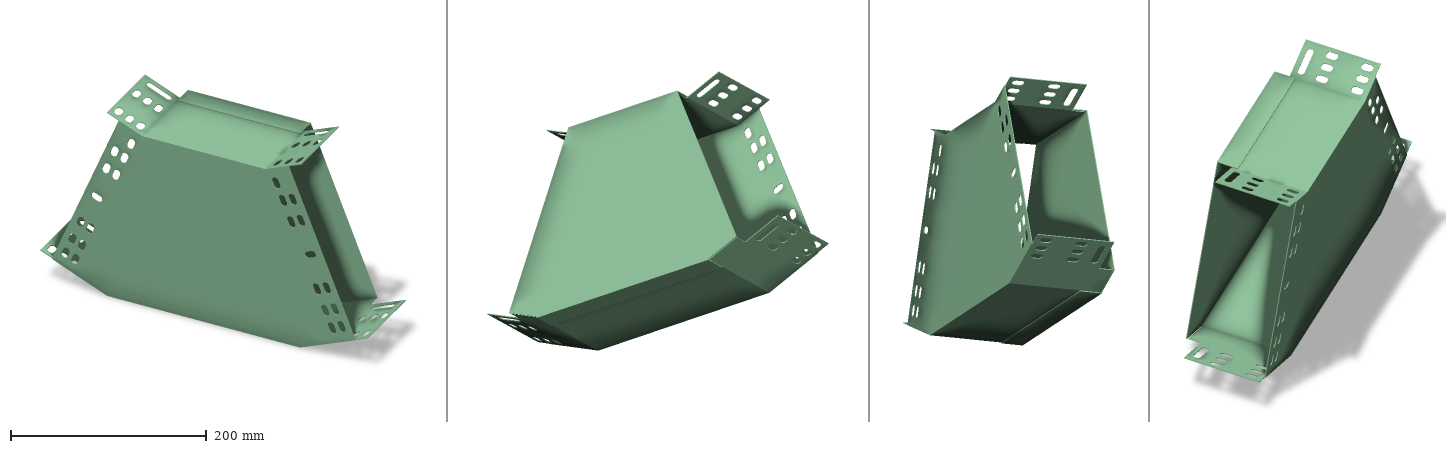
import cadquery as cq
import math


length = 378.2
depth = 101.7
height = 202.0
sheet = 0.95

turn = math.radians(22.5)
outer_bend_x = 111.2
inner_bend_x = outer_bend_x - height * math.tan(turn / 2)
outer_wing = (length / 2 - outer_bend_x) / math.cos(turn)

plate_setback = 15.0
notch_setback = 45.8
cover_setback = 44.5

wing_depth = 85.0
cover_lip = 23.5
cover_gap = 1.0
wall_top = depth - sheet - cover_gap

slot_length = 13.0
slot_width = 7.5
long_slot_length = 30.0

plate_columns = (25.5, 37.5)
plate_rows = (39.0, 63.5, 84.0)
cross_slot_inset = 29.5

wing_columns = (8.5, 22.0, 35.5)
wing_slot_levels = (12.5, 52.2)
long_slot_inset = 23.0
long_slot_level = 75.5


def end_point(inset, rise):
    """Point (x, z) near the +X end: inset from the wing tips, rise across the end from the outer wall."""
    tip_z = outer_wing * math.sin(turn)
    x = length / 2 - inset * math.cos(turn) - rise * math.sin(turn)
    z = tip_z - inset * math.sin(turn) + rise * math.cos(turn)
    return x, z


def mirrored_outline(right_side):
    """Closed outline from its +X points, listed upward, and their mirror images."""
    return right_side + [(-x, z) for x, z in reversed(right_side)]


def extrude_y(outline, y_start, y_end):
    """Prism of an XZ outline between two Y levels."""
    plane = cq.Workplane("XZ", origin=(0, y_start, 0))
    return plane.polyline(outline).close().extrude(y_start - y_end)


def bent_wall(bend_x, bend_z, rise, inward):
    """Wall with a wing at each end; inward is +1 for the outer wall and -1 for the inner wall."""
    inside_bend = (bend_x - inward * sheet * math.tan(turn / 2), bend_z + inward * sheet)
    half = [
        (bend_x, bend_z),
        end_point(0, rise),
        end_point(0, rise + inward * sheet),
        inside_bend,
    ]
    return extrude_y(mirrored_outline(half), sheet, wall_top)


def web_plate():
    """Flat plate that joins the two walls."""
    outline = mirrored_outline([
        (outer_bend_x, 0),
        end_point(plate_setback, 0),
        end_point(plate_setback, height),
        (inner_bend_x, height),
    ])
    return extrude_y(outline, 0, sheet)


def wing_notches(side):
    """Cutter that lowers the cover-side edge of both wings at one end."""
    margin = 3.8
    outline = [
        end_point(-margin, -margin),
        end_point(-margin, height + margin),
        end_point(notch_setback, height + margin),
        end_point(notch_setback, -margin),
    ]
    return extrude_y([(side * x, z) for x, z in outline], wing_depth, depth)


def plate_slots(side):
    """Cutters for the slots through the web plate at one end."""
    middle = height / 2
    along_end = [(inset, middle + way * row) for inset in plate_columns for row in plate_rows for way in (-1, 1)]
    along_end.remove((plate_columns[0], middle + plate_rows[-1]))
    slots = cq.Workplane("XZ")
    places = [(inset, rise, 90) for inset, rise in along_end] + [(cross_slot_inset, middle, 0)]
    cutters = []
    for inset, rise, angle in places:
        x, z = end_point(inset, rise)
        slot = slots.center(side * x, z).slot2D(slot_length, slot_width, side * (math.degrees(turn) + angle))
        cutters.append(slot.extrude(-sheet))
    return cutters


def wing_slots(side):
    """Cutters for the slots through both wings at one end."""
    along = cq.Vector(-side * math.cos(turn), 0, -math.sin(turn))
    across = cq.Vector(-side * math.sin(turn), 0, math.cos(turn))
    tip_x, tip_z = end_point(0, 0)
    places = [(inset, level, slot_length, 90) for inset in wing_columns for level in wing_slot_levels]
    places.append((long_slot_inset, long_slot_level, long_slot_length, 0))
    cutters = []
    for wall_rise in (0, height - sheet):
        origin = cq.Vector(side * tip_x, 0, tip_z) + across * wall_rise
        wing = cq.Workplane(cq.Plane(origin=origin, xDir=along, normal=across))
        y_sign = wing.plane.yDir.y
        for inset, level, size, angle in places:
            slot = wing.center(inset, y_sign * level).slot2D(size, slot_width, angle)
            cutters.append(slot.extrude(sheet))
    return cutters


def make_tray():
    """Web plate and both walls, notched and slotted at each end."""
    tray = web_plate()
    tray = tray.union(bent_wall(outer_bend_x, 0, 0, 1))
    tray = tray.union(bent_wall(inner_bend_x, height, height, -1))
    for side in (-1, 1):
        tray = tray.cut(wing_notches(side))
        for cutter in plate_slots(side) + wing_slots(side):
            tray = tray.cut(cutter)
    return tray


def cover_strip(half_width, z_start):
    """Lip of the cover, lying on the outside of the straight part of a wall."""
    strip = cq.Workplane("XY").box(2 * half_width, cover_lip, sheet, centered=(True, False, False))
    return strip.translate((0, depth - cover_lip, z_start))


def make_cover():
    """Flat cover with a lip over each wall."""
    outline = mirrored_outline([
        (outer_bend_x, 0),
        end_point(cover_setback, 0),
        (inner_bend_x, height),
    ])
    cover = extrude_y(outline, depth - sheet, depth)
    cover = cover.union(cover_strip(outer_bend_x, -sheet))
    return cover.union(cover_strip(inner_bend_x, height))


tray = make_tray()
cover = make_cover()

result = cq.Compound.makeCompound([tray.val(), cover.val()])